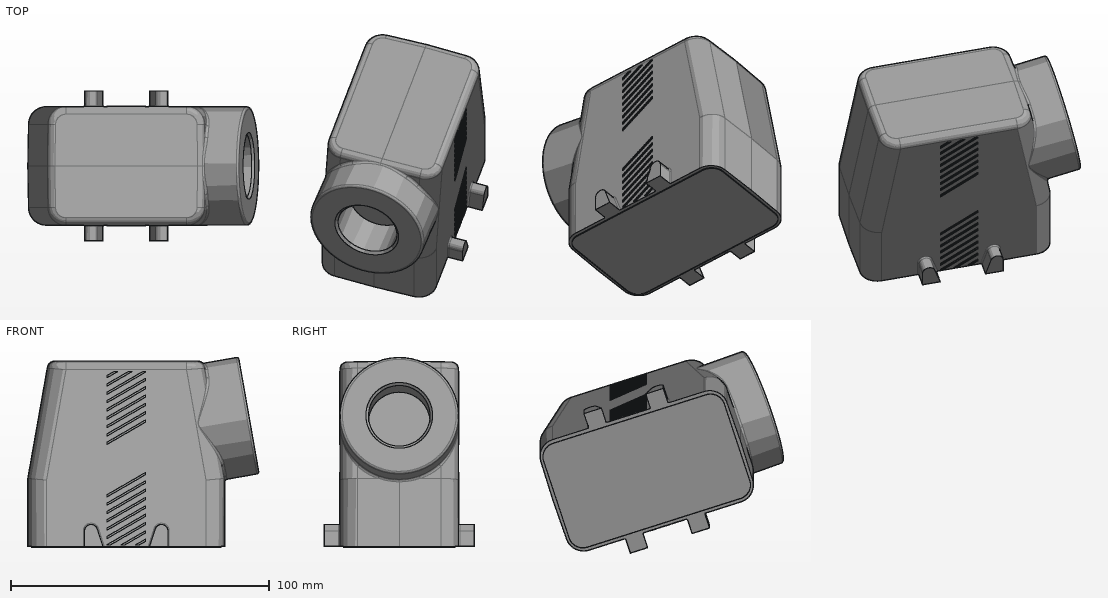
import cadquery as cq
import math

body_length = 76.2
body_width = 45.9
body_height = 71.7
straight_height = 26.3
end_slope = 10.0
mould_draft = 1.0
corner_radius = 7.0
top_radius = 3.0

entry_diameter = 45.8
entry_face_x = 47.4
entry_face_z = 50.68
entry_rim_radius = 0.9
bore_diameter = 23.8
bore_chamfer = 1.0
entry_length = 25.0
entry_root_radius = 1.0
bore_depth = 16.0

peg_outer_x = 16.1
peg_inner_x = 9.0
peg_tip_y = 29.0
peg_top_radius = 2.5
peg_height = 8.5
peg_root_radius = 0.5

lip_inset = 1.4
lip_depth = 0.4

band_width = 14.8
band_bottom = 0.6
band_top = 67.6
stripe_angle = 30.0
stripe_pitch = 3.22
stripe_thickness = 0.85
stripe_relief = 0.2
lower_stripe_count = 9
upper_stripe_count = 9
lower_stripe_start = 19.6
upper_stripe_start = 39.9

half_length = body_length / 2
half_width = body_width / 2
slope = math.radians(end_slope)
top_half_length = half_length - (body_height - straight_height) * math.tan(slope)


def make_half_body():
    """Half of the body on the -Y side, drafted away from the parting plane."""
    trim_depth = 5.0
    half = (
        cq.Workplane("XZ")
        .moveTo(-half_length, -trim_depth)
        .lineTo(-half_length, straight_height)
        .lineTo(-top_half_length, body_height)
        .lineTo(top_half_length, body_height)
        .lineTo(half_length, straight_height)
        .lineTo(half_length, -trim_depth)
        .close()
        .extrude(half_width, taper=mould_draft)
    )
    below_base = cq.Workplane("XY").box(
        2 * body_length, 2 * body_width, 2 * trim_depth, centered=(True, True, False)
    )
    half = half.cut(below_base.translate((0, 0, -2 * trim_depth)))
    upright_edges = half.faces("<Y").edges("not #Z")
    half = upright_edges.fillet(corner_radius)
    return half.faces(">Z").edges("<Y").fillet(top_radius)


def make_body():
    half = make_half_body()
    return half.union(half.mirror("XZ"))


def entry_plane():
    """Plane of the entry mouth, its normal pointing outwards along the entry axis."""
    return cq.Plane(
        origin=(entry_face_x, 0, entry_face_z),
        xDir=(0, 1, 0),
        normal=(math.cos(slope), 0, math.sin(slope)),
    )


def make_entry():
    """Round entry socket, reaching back into the body."""
    socket = cq.Workplane(entry_plane()).circle(entry_diameter / 2).extrude(-entry_length)
    return socket.faces(">X").edges().fillet(entry_rim_radius)


def add_entry(body):
    """Join the entry to the body and round the seam between them."""
    joined = body.union(make_entry())
    socket_wall = joined.faces("%CYLINDER").faces(">X")
    seam = socket_wall.edges("(not %CIRCLE) and (not %LINE)")
    return seam.fillet(entry_root_radius)


def make_bore():
    """Blind bore of the entry with a chamfered mouth."""
    bore = cq.Workplane(entry_plane()).circle(bore_diameter / 2).extrude(-bore_depth)
    chamfer_angle = 45
    mouth = (
        cq.Workplane(entry_plane())
        .circle(bore_diameter / 2 + bore_chamfer)
        .extrude(-bore_chamfer, taper=chamfer_angle)
    )
    return bore.union(mouth)


def make_lip():
    """Lip below the base, following the base outline at a constant inset."""
    return (
        cq.Workplane("XY")
        .rect(body_length - 2 * lip_inset, body_width - 2 * lip_inset)
        .extrude(-lip_depth)
        .edges("|Z")
        .fillet(corner_radius - lip_inset)
    )


def make_peg():
    """Peg on the -Y, +X side, with an upright outer side, round top and sloping inner side."""
    arc_x = peg_outer_x - peg_top_radius
    arc_z = peg_height - peg_top_radius
    foot_distance = math.hypot(arc_x - peg_inner_x, arc_z)
    foot_angle = math.atan2(-arc_z, peg_inner_x - arc_x)
    tangent_angle = foot_angle - math.acos(peg_top_radius / foot_distance)
    tangent_x = arc_x + peg_top_radius * math.cos(tangent_angle)
    tangent_z = arc_z + peg_top_radius * math.sin(tangent_angle)
    return (
        cq.Workplane("XZ")
        .moveTo(peg_outer_x, 0)
        .lineTo(peg_outer_x, arc_z)
        .threePointArc((arc_x, peg_height), (tangent_x, tangent_z))
        .lineTo(peg_inner_x, 0)
        .close()
        .extrude(peg_tip_y)
    )


def add_pegs(part):
    """Four pegs, one pair on each side wall, with a small fillet at the root."""
    peg = make_peg()
    pegs = peg.union(peg.mirror("YZ"))
    pegs = pegs.union(pegs.mirror("XZ"))
    part = part.union(pegs)
    tolerance = 0.01
    for wall_y in (-half_width, half_width):
        roots = cq.selectors.BoxSelector(
            (-peg_outer_x - tolerance, wall_y - tolerance, tolerance),
            (peg_outer_x + tolerance, wall_y + tolerance, peg_height + tolerance),
        )
        part = part.edges(roots).fillet(peg_root_radius)
    return part


def make_stripe(left_height):
    """Slanted bar on the -Y wall whose centre line meets the left band edge at left_height."""
    rise = band_width * math.tan(math.radians(stripe_angle))
    half_thickness = stripe_thickness / 2
    return (
        cq.Workplane("XZ")
        .workplane(offset=half_width - stripe_relief)
        .moveTo(-band_width / 2, left_height - half_thickness)
        .lineTo(band_width / 2, left_height + rise - half_thickness)
        .lineTo(band_width / 2, left_height + rise + half_thickness)
        .lineTo(-band_width / 2, left_height + half_thickness)
        .close()
        .extrude(2 * stripe_relief)
    )


def make_stripes():
    """Stripes of one side wall, trimmed to the ends of the band."""
    window = cq.Workplane("XY").box(
        band_width, body_width * 2, band_top - band_bottom, centered=(True, True, False)
    ).translate((0, 0, band_bottom))
    heights = [lower_stripe_start - i * stripe_pitch for i in range(lower_stripe_count)]
    heights += [upper_stripe_start + i * stripe_pitch for i in range(upper_stripe_count)]
    bars = [make_stripe(height).intersect(window).val() for height in heights]
    return cq.Workplane("XY").newObject(bars).combine()


hood = add_entry(make_body())
hood = hood.cut(make_bore())
hood = add_pegs(hood)
stripes = make_stripes()
hood = hood.union(stripes).union(stripes.rotate((0, 0, 0), (0, 0, 1), 180))
result = hood.union(make_lip())